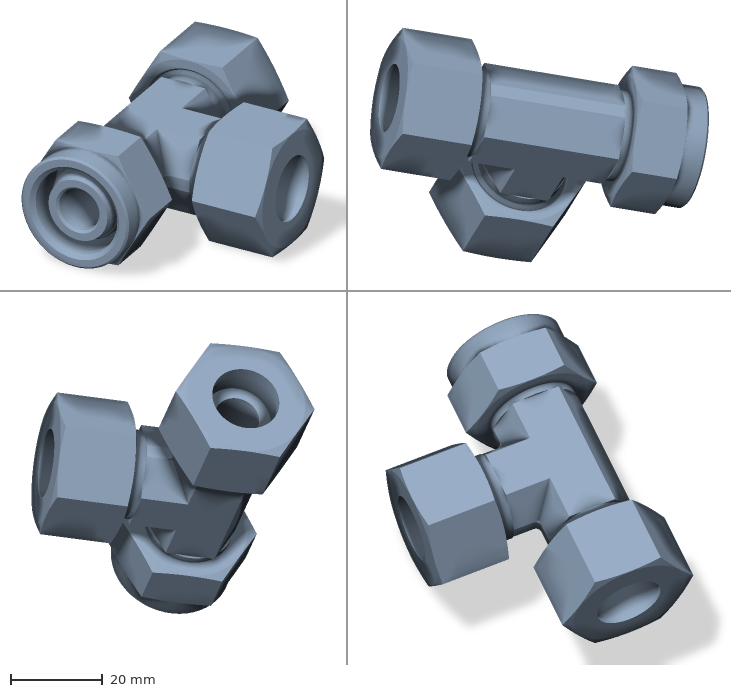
import cadquery as cq
import math


BODY_HALF_FLATS = 9.5
BODY_HALF_WIDTH = 10.1
STUD_SHOULDER = 15.95
SWIVEL_SHOULDER = 14.85
INNER_CORNER_RADIUS = 1.3
BORE_RADIUS = 5.0

THREAD_MOUTH_RADIUS = 11.2
STUD_THREAD_RADIUS = 10.7
SWIVEL_THREAD_RADIUS = 10.15

STUD_NECK_RADIUS = 9.8
STUD_THREAD_START = 18.5
STUD_END = 28.0

NUT_FLATS = 27.0
NUT_FACE_RADIUS = 13.35
NUT_CORNER_ANGLE = 15
NUT_CORNER_RADIUS = NUT_FLATS / math.sqrt(3)

UNION_NUT_START = 19.0
UNION_NUT_END = 36.0
TUBE_HOLE_RADIUS = 7.5

SWIVEL_NUT_START = 16.6
SWIVEL_HEX_END = 28.0
SWIVEL_NUT_END = 33.1
SWIVEL_COLLAR_RADIUS = 13.4
SWIVEL_COLLAR_CHAMFER = 0.5

SWIVEL_NECK_RADIUS = 10.0
CONE_TIP = SWIVEL_NUT_END - 1.65
CONE_TIP_RADIUS = 7.3
CONE_BASE_RADIUS = 9.05
CONE_HALF_ANGLE = 12
CONE_SLOPE = math.tan(math.radians(CONE_HALF_ANGLE))
CONE_BASE = CONE_TIP - (CONE_BASE_RADIUS - CONE_TIP_RADIUS) / CONE_SLOPE
BORE_CHAMFER = 0.55

RING_OUTER_RADIUS = 8.6
RING_SECTION_RADIUS = 0.75
RING_CENTRE_RADIUS = RING_OUTER_RADIUS - RING_SECTION_RADIUS
GROOVE_EDGE_RADIUS = 8.0
GROOVE_FRONT = CONE_TIP - (GROOVE_EDGE_RADIUS - CONE_TIP_RADIUS) / CONE_SLOPE
RING_PLACE = GROOVE_FRONT - RING_SECTION_RADIUS


def onto_back_port(shape):
    """Turn a shape from +Z to the +Y port."""
    return shape.rotate((0, 0, 0), (1, 0, 0), -90)


def onto_front_port(shape):
    """Turn a shape from +Z to the -Y port."""
    return shape.rotate((0, 0, 0), (1, 0, 0), 90)


def onto_branch_port(shape):
    """Turn a shape from +Z to the +X port, keeping the hexagon flats at the top and bottom."""
    return onto_back_port(shape).rotate((0, 0, 0), (0, 0, 1), -90)


def revolved(profile):
    """Turn a closed outline of (radius, height) points about the Z axis."""
    return cq.Workplane("XZ").polyline(profile).close().revolve(360, (0, 0), (0, 1))


def cylinder(radius, start, end):
    return cq.Workplane("XY").workplane(offset=start).circle(radius).extrude(end - start)


def hexagon_bar(across_flats, start, end):
    """Hexagonal prism with two corners on the X axis."""
    diameter = across_flats * 2 / math.sqrt(3)
    return cq.Workplane("XY").workplane(offset=start).polygon(6, diameter).extrude(end - start)


def nut_hexagon(start, end):
    """Hexagon with its corners turned down to a round face at both ends."""
    drop = (NUT_CORNER_RADIUS - NUT_FACE_RADIUS) * math.tan(math.radians(NUT_CORNER_ANGLE))
    turned_blank = revolved([
        (0, start),
        (NUT_FACE_RADIUS, start),
        (NUT_CORNER_RADIUS, start + drop),
        (NUT_CORNER_RADIUS, end - drop),
        (NUT_FACE_RADIUS, end),
        (0, end),
    ])
    return hexagon_bar(NUT_FLATS, start, end).intersect(turned_blank)


def union_nut():
    """Nut threaded from its inner face, with a tube hole through its outer end."""
    countersink = THREAD_MOUTH_RADIUS - STUD_THREAD_RADIUS
    hole = revolved([
        (0, UNION_NUT_START),
        (THREAD_MOUTH_RADIUS, UNION_NUT_START),
        (STUD_THREAD_RADIUS, UNION_NUT_START + countersink),
        (STUD_THREAD_RADIUS, STUD_END),
        (TUBE_HOLE_RADIUS, STUD_END),
        (TUBE_HOLE_RADIUS, UNION_NUT_END),
        (0, UNION_NUT_END),
    ])
    return nut_hexagon(UNION_NUT_START, UNION_NUT_END).cut(hole)


def swivel_nut():
    """Nut with a round collar, threaded from its outer end down to an inner lip."""
    collar = cylinder(SWIVEL_COLLAR_RADIUS, SWIVEL_HEX_END, SWIVEL_NUT_END)
    collar = collar.faces(">Z").chamfer(SWIVEL_COLLAR_CHAMFER)
    countersink = THREAD_MOUTH_RADIUS - SWIVEL_THREAD_RADIUS
    hole = revolved([
        (0, SWIVEL_NUT_START),
        (CONE_BASE_RADIUS, SWIVEL_NUT_START),
        (CONE_BASE_RADIUS, CONE_BASE),
        (SWIVEL_THREAD_RADIUS, CONE_BASE),
        (SWIVEL_THREAD_RADIUS, SWIVEL_NUT_END - countersink),
        (THREAD_MOUTH_RADIUS, SWIVEL_NUT_END),
        (0, SWIVEL_NUT_END),
    ])
    return nut_hexagon(SWIVEL_NUT_START, SWIVEL_HEX_END).union(collar).cut(hole)


def o_ring():
    return (
        cq.Workplane("XZ")
        .center(RING_CENTRE_RADIUS, RING_PLACE)
        .circle(RING_SECTION_RADIUS)
        .revolve(360, (-RING_CENTRE_RADIUS, 0), (-RING_CENTRE_RADIUS, 1))
    )


def body_bar(start, end):
    """Hexagonal bar whose two side corners are cut flat."""
    envelope = (
        cq.Workplane("XY")
        .workplane(offset=start)
        .rect(2 * BODY_HALF_WIDTH, 2 * BODY_HALF_FLATS)
        .extrude(end - start)
    )
    return hexagon_bar(2 * BODY_HALF_FLATS, start, end).intersect(envelope)


def threaded_stud():
    """Neck that widens to the thread inside a union nut."""
    widening = STUD_THREAD_RADIUS - STUD_NECK_RADIUS
    return revolved([
        (0, STUD_SHOULDER),
        (STUD_NECK_RADIUS, STUD_SHOULDER),
        (STUD_NECK_RADIUS, STUD_THREAD_START),
        (STUD_THREAD_RADIUS, STUD_THREAD_START + widening),
        (STUD_THREAD_RADIUS, STUD_END),
        (0, STUD_END),
    ])


def cone_stud():
    """Neck, shank and sealing cone with the O-ring groove."""
    stud = revolved([
        (0, SWIVEL_SHOULDER),
        (SWIVEL_NECK_RADIUS, SWIVEL_SHOULDER),
        (SWIVEL_NECK_RADIUS, SWIVEL_NUT_START),
        (CONE_BASE_RADIUS, SWIVEL_NUT_START),
        (CONE_BASE_RADIUS, CONE_BASE),
        (CONE_TIP_RADIUS, CONE_TIP),
        (0, CONE_TIP),
    ])
    groove_floor = RING_CENTRE_RADIUS - RING_SECTION_RADIUS
    groove_back = RING_PLACE - RING_SECTION_RADIUS
    groove = cylinder(CONE_BASE_RADIUS, groove_back, GROOVE_FRONT).cut(
        cylinder(groove_floor, groove_back, GROOVE_FRONT)
    )
    return stud.cut(groove)


def inner_corner(side):
    """Concave fillet between the side flats of run and branch, at +Y (side 1) or -Y (side -1)."""
    flat_height = 2 * (2 * BODY_HALF_FLATS - math.sqrt(3) * BODY_HALF_WIDTH)
    near = BODY_HALF_WIDTH
    far = BODY_HALF_WIDTH + INNER_CORNER_RADIUS
    middle = far - INNER_CORNER_RADIUS * math.sqrt(0.5)
    return (
        cq.Workplane("XY")
        .workplane(offset=-flat_height / 2)
        .moveTo(near, side * near)
        .lineTo(far, side * near)
        .threePointArc((middle, side * middle), (near, side * far))
        .close()
        .extrude(flat_height)
    )


def tee_body():
    body = onto_back_port(body_bar(-SWIVEL_SHOULDER, STUD_SHOULDER))
    body = body.union(onto_branch_port(body_bar(0, STUD_SHOULDER)))
    for side in (1, -1):
        body = body.union(inner_corner(side))
    body = body.union(onto_back_port(threaded_stud()))
    body = body.union(onto_branch_port(threaded_stud()))
    body = body.union(onto_front_port(cone_stud()))

    run_bore = revolved([
        (0, -STUD_END),
        (BORE_RADIUS, -STUD_END),
        (BORE_RADIUS, CONE_TIP - BORE_CHAMFER),
        (BORE_RADIUS + BORE_CHAMFER, CONE_TIP),
        (0, CONE_TIP),
    ])
    branch_bore = cylinder(BORE_RADIUS, 0, STUD_END)
    return body.cut(onto_front_port(run_bore)).cut(onto_branch_port(branch_bore))


body = tee_body()
union_nuts = [place(union_nut()) for place in (onto_back_port, onto_branch_port)]
front_nut = onto_front_port(swivel_nut())
seal = onto_front_port(o_ring())

result = cq.Compound.makeCompound([
    body.val(),
    *[nut.val() for nut in union_nuts],
    front_nut.val(),
    seal.val(),
])